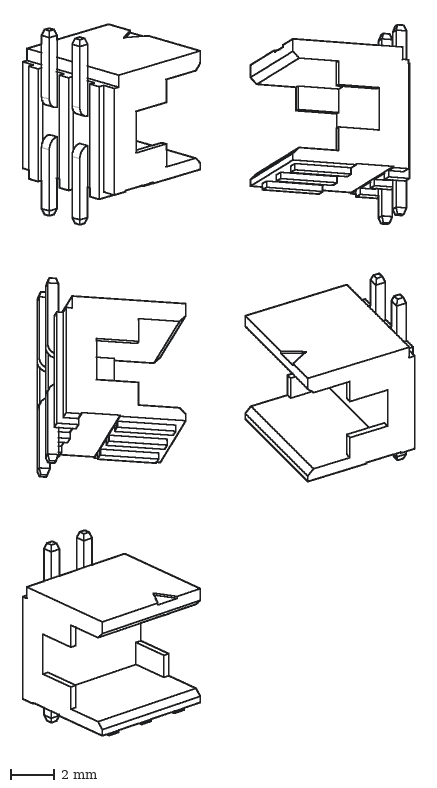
import cadquery as cq

WIDTH = 6.0
PITCH = 2.0
TOP_Z = 3.02
BOTTOM_Z = -2.745
SHOULDER_Z = 2.44
SHOULDER_DEPTH = 5.4
FACE_DEPTH = 5.69
CAVITY_HALF_HEIGHT = 2.12
CAVITY_DEPTH = 4.24
MOUTH_CHAMFER = 0.31
SIDE_WALL = 0.31
SIDE_WALL_SETBACK = 2.24
WINDOW_HALF_HEIGHT = 1.01

RIB_WIDTH = 0.6
RIB_HEIGHT = 0.3
FOOT_START = 4.95
KEEL_START = 0.34
KEEL_END = 3.12
KEEL_END_CHAMFER = 0.04

RELIEF_DEPTH = 0.05
MARK_WIDTH = 1.19
MARK_LENGTH = 1.03
MARK_DEPTH = 0.1

PIN_SIZE = 0.51
PIN_INNER_Z = 0.72
PIN_OUTER_Z = 4.5
TIP_HEIGHT = 0.29
TIP_INSET = 0.1

RIB_CENTERS = [-PITCH, 0, PITCH]
PIN_CENTERS = [-PITCH / 2, PITCH / 2]


def block(x_center, width, depth_start, depth_end, z_low, z_high):
    """Box spanning a width in X, a range of depths and a range of heights."""
    return cq.Workplane("XY").box(
        width, depth_end - depth_start, z_high - z_low
    ).translate((x_center, -(depth_start + depth_end) / 2, (z_low + z_high) / 2))


def side_profile(points, width):
    """Extrude a (y, z) outline symmetrically about x = 0."""
    return cq.Workplane("YZ").polyline(points).close().extrude(width / 2, both=True)


def make_shell():
    """C-shaped shell with a chamfered mouth and stepped, windowed side walls."""
    lip_z = CAVITY_HALF_HEIGHT + MOUTH_CHAMFER
    shell = side_profile([
        (0, TOP_Z),
        (-SHOULDER_DEPTH, TOP_Z),
        (-SHOULDER_DEPTH, SHOULDER_Z),
        (-FACE_DEPTH, SHOULDER_Z),
        (-FACE_DEPTH, BOTTOM_Z),
        (0, BOTTOM_Z),
        (0, -lip_z),
        (-MOUTH_CHAMFER, -CAVITY_HALF_HEIGHT),
        (-CAVITY_DEPTH, -CAVITY_HALF_HEIGHT),
        (-CAVITY_DEPTH, CAVITY_HALF_HEIGHT),
        (-MOUTH_CHAMFER, CAVITY_HALF_HEIGHT),
        (0, lip_z),
    ], WIDTH)
    for side in (-1, 1):
        wall_x = side * (WIDTH - SIDE_WALL) / 2
        for z_low, z_high in (
            (-CAVITY_HALF_HEIGHT, -WINDOW_HALF_HEIGHT),
            (WINDOW_HALF_HEIGHT, CAVITY_HALF_HEIGHT),
        ):
            shell = shell.union(
                block(wall_x, SIDE_WALL, SIDE_WALL_SETBACK, CAVITY_DEPTH, z_low, z_high)
            )
    return shell


def make_rib(x_center):
    """L-shaped rib up the pin-side face, with a foot under the floor."""
    rib_bottom = BOTTOM_Z - RIB_HEIGHT
    rib_outer = FACE_DEPTH + RIB_HEIGHT
    upright = block(x_center, RIB_WIDTH, FACE_DEPTH, rib_outer, rib_bottom, SHOULDER_Z)
    foot = block(x_center, RIB_WIDTH, FOOT_START, FACE_DEPTH, rib_bottom, BOTTOM_Z)
    return upright.union(foot)


def make_keel(x_center):
    """Rib under the floor near the mouth, with chamfered corners at its inner end."""
    keel = block(x_center, RIB_WIDTH, KEEL_START, KEEL_END, BOTTOM_Z - RIB_HEIGHT, BOTTOM_Z)
    return keel.faces("<Y").edges("|Z").chamfer(KEEL_END_CHAMFER)


def make_pin_one_mark():
    """Triangular recess in the roof, pointing from the mouth toward the first pin."""
    x = PIN_CENTERS[0]
    return (
        cq.Workplane("XY", origin=(0, 0, TOP_Z - MARK_DEPTH))
        .polyline([(x - MARK_WIDTH / 2, 0), (x + MARK_WIDTH / 2, 0), (x, -MARK_LENGTH)])
        .close()
        .extrude(MARK_DEPTH)
    )


def make_housing():
    housing = make_shell().cut(make_pin_one_mark())
    relief = block(0, WIDTH, KEEL_END, FOOT_START, BOTTOM_Z, BOTTOM_Z + RELIEF_DEPTH)
    housing = housing.cut(relief)
    for x in RIB_CENTERS:
        housing = housing.union(make_rib(x)).union(make_keel(x))
    return housing


def make_pin(x_center, direction):
    """Square pin against the housing face; direction is +1 for up, -1 for down."""
    inner_y = -FACE_DEPTH
    outer_y = inner_y - PIN_SIZE
    shaft_end = PIN_OUTER_Z - TIP_HEIGHT
    shaft = (
        cq.Workplane("YZ", origin=(x_center, 0, 0))
        .moveTo(inner_y, direction * PIN_INNER_Z)
        .radiusArc((outer_y, direction * (PIN_INNER_Z + PIN_SIZE)), direction * PIN_SIZE)
        .lineTo(outer_y, direction * shaft_end)
        .lineTo(inner_y, direction * shaft_end)
        .close()
        .extrude(PIN_SIZE / 2, both=True)
    )
    tip_size = PIN_SIZE - 2 * TIP_INSET
    tip = (
        cq.Workplane("XY", origin=(x_center, (inner_y + outer_y) / 2, direction * shaft_end))
        .rect(PIN_SIZE, PIN_SIZE)
        .workplane(offset=direction * TIP_HEIGHT)
        .rect(tip_size, tip_size)
        .loft(ruled=True)
    )
    return shaft.union(tip)


housing = make_housing()
pins = [make_pin(x, direction) for x in PIN_CENTERS for direction in (1, -1)]

result = cq.Compound.makeCompound([housing.val(), *[pin.val() for pin in pins]])